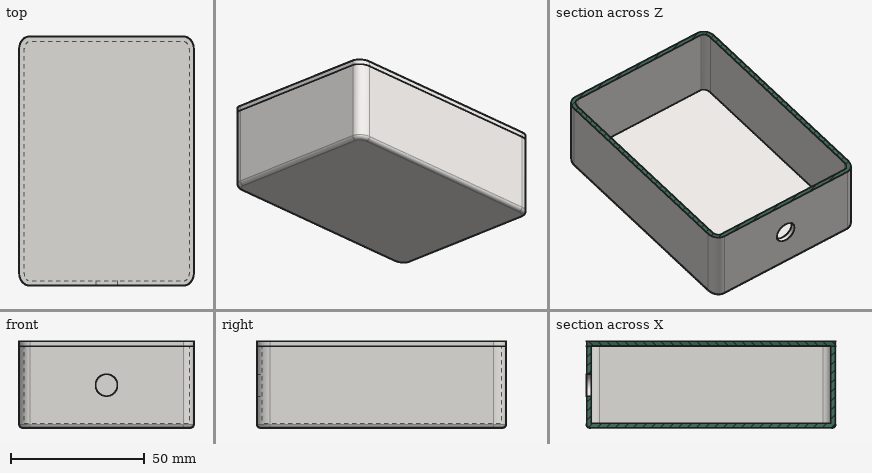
import cadquery as cq

width = 65.4
length = 93.1
height = 32.5

corner_x = 4.0
corner_y = 4.8

lid_thickness = 2.0
wall = 1.9
bottom_fillet = 1.5

hole_diameter = 8.2
hole_height = 16.0

housing_height = height - lid_thickness


def rounded_block(inset, bottom, thickness):
    """Block with elliptical vertical corners, its sides set in from the outer outline."""
    half_x = width / 2 - inset
    half_y = length / 2 - inset
    reach_x = corner_x - inset
    reach_y = corner_y - inset
    flat_x = half_x - reach_x
    flat_y = half_y - reach_y

    return (
        cq.Workplane("XY", origin=(0, 0, bottom))
        .moveTo(half_x, -flat_y)
        .lineTo(half_x, flat_y)
        .ellipseArc(reach_x, reach_y, 0, 90, startAtCurrent=True)
        .lineTo(-flat_x, half_y)
        .ellipseArc(reach_x, reach_y, 90, 180, startAtCurrent=True)
        .lineTo(-half_x, -flat_y)
        .ellipseArc(reach_x, reach_y, 180, 270, startAtCurrent=True)
        .lineTo(flat_x, -half_y)
        .ellipseArc(reach_x, reach_y, 270, 360, startAtCurrent=True)
        .close()
        .extrude(thickness)
    )


def make_housing():
    """Open-topped box with a rounded bottom edge and a cable hole in the -Y wall."""
    outer = rounded_block(0, 0, housing_height).faces("<Z").edges().fillet(bottom_fillet)
    cavity = rounded_block(wall, wall, housing_height - wall)
    cable_hole = (
        cq.Workplane("XZ", origin=(0, wall - length / 2, hole_height))
        .circle(hole_diameter / 2)
        .extrude(wall)
    )
    return outer.cut(cavity).cut(cable_hole)


def make_lid():
    """Flat lid that closes the top of the housing, flush with its sides."""
    return rounded_block(0, housing_height, lid_thickness)


housing = make_housing()
lid = make_lid()

result = cq.Compound.makeCompound([housing.val(), lid.val()])